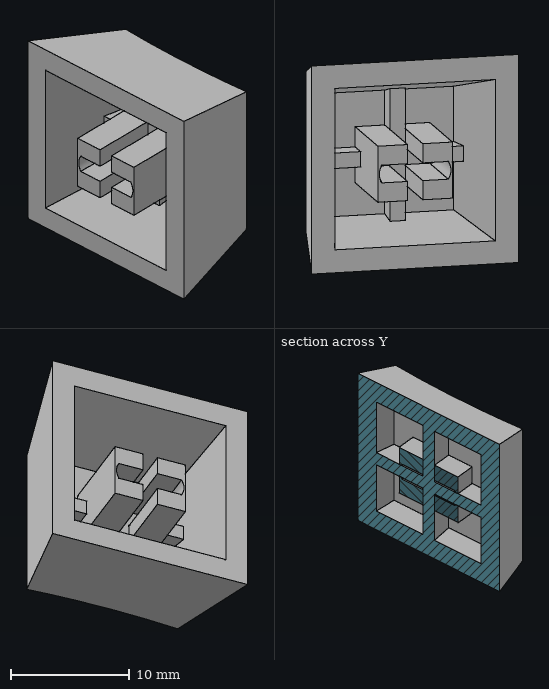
import cadquery as cq

CAP_SIZE = 18.1
CAP_DEPTH = 10.0
BACK_WIDTH = 14.01
BACK_TOP = 6.3
BACK_BOTTOM = -7.7
DISH_DEPTH = 0.35

MOUTH_SIZE = 14.01
MOUTH_CENTER_Z = -0.04
POCKET_DEPTH = 7.78
FLOOR_WIDTH = 10.72
FLOOR_TOP = 4.78
FLOOR_BOTTOM = -5.95

RIB_WIDTH = 1.34
RIB_FRONT = 5.94

STEM_WIDTH = 6.52
STEM_HEIGHT = 4.87
STEM_CENTER_Z = -0.69
STEM_FRONT = 0.0
LEG_GAP = RIB_WIDTH
SLOT_HEIGHT = 1.54
SLOT_HALF_LENGTH = 3.13
SLOT_END_BULGE = 0.24


def box(x_range, y_range, z_range):
    """Box between the given limits along each axis."""
    size = [high - low for low, high in (x_range, y_range, z_range)]
    corner = (x_range[0], y_range[0], z_range[0])
    return cq.Workplane("XY").box(*size, centered=False).translate(corner)


def centered_range(center, size):
    return (center - size / 2, center + size / 2)


def rectangle_wire(y, width, bottom, top):
    """Rectangle at depth y, centred on x = 0."""
    half = width / 2
    corners = [(-half, y, bottom), (half, y, bottom), (half, y, top), (-half, y, top)]
    return cq.Wire.makePolygon([cq.Vector(*corner) for corner in corners], close=True)


def tapered_block(front, back):
    return cq.Workplane(cq.Solid.makeLoft([front, back], True))


def dish():
    """Cylinder along Z that hollows the finger face from one side edge to the other."""
    radius = ((BACK_WIDTH / 2) ** 2 + DISH_DEPTH**2) / (2 * DISH_DEPTH)
    axis_y = CAP_DEPTH - DISH_DEPTH + radius
    return cq.Workplane("XY").center(0, axis_y).circle(radius).extrude(CAP_SIZE / 2, both=True)


def pocket():
    mouth_bottom, mouth_top = centered_range(MOUTH_CENTER_Z, MOUTH_SIZE)
    return tapered_block(
        rectangle_wire(0, MOUTH_SIZE, mouth_bottom, mouth_top),
        rectangle_wire(POCKET_DEPTH, FLOOR_WIDTH, FLOOR_BOTTOM, FLOOR_TOP),
    )


def ribs():
    """Cross of two ribs on the pocket floor, ending at the sloping pocket walls."""
    y_range = (RIB_FRONT, POCKET_DEPTH)
    across = centered_range(0, RIB_WIDTH)
    along = centered_range(0, CAP_SIZE)
    upright = box(across, y_range, along)
    level = box(along, y_range, centered_range(STEM_CENTER_Z, RIB_WIDTH))
    return upright.union(level).intersect(pocket())


def make_cap():
    outside = tapered_block(
        rectangle_wire(0, CAP_SIZE, -CAP_SIZE / 2, CAP_SIZE / 2),
        rectangle_wire(CAP_DEPTH, BACK_WIDTH, BACK_BOTTOM, BACK_TOP),
    )
    return outside.cut(dish()).cut(pocket().cut(ribs()))


def stem_slot():
    """Level slot through the stem's depth, with shallow round ends."""
    bottom, top = centered_range(STEM_CENTER_Z, SLOT_HEIGHT)
    corner_x = SLOT_HALF_LENGTH - SLOT_END_BULGE
    return (
        cq.Workplane("XZ", origin=(0, STEM_FRONT, 0))
        .moveTo(-corner_x, bottom)
        .lineTo(corner_x, bottom)
        .threePointArc((SLOT_HALF_LENGTH, STEM_CENTER_Z), (corner_x, top))
        .lineTo(-corner_x, top)
        .threePointArc((-SLOT_HALF_LENGTH, STEM_CENTER_Z), (-corner_x, bottom))
        .close()
        .extrude(-(POCKET_DEPTH - STEM_FRONT))
    )


def make_leg(side):
    """Stem leg standing on the pocket floor; side is -1 for the -X leg and 1 for the +X leg."""
    x_range = sorted((side * LEG_GAP / 2, side * STEM_WIDTH / 2))
    block = box(x_range, (STEM_FRONT, POCKET_DEPTH), centered_range(STEM_CENTER_Z, STEM_HEIGHT))
    return block.cut(stem_slot()).cut(ribs())


cap = make_cap()
legs = [make_leg(side) for side in (-1, 1)]

result = cq.Compound.makeCompound([cap.val(), *[leg.val() for leg in legs]])